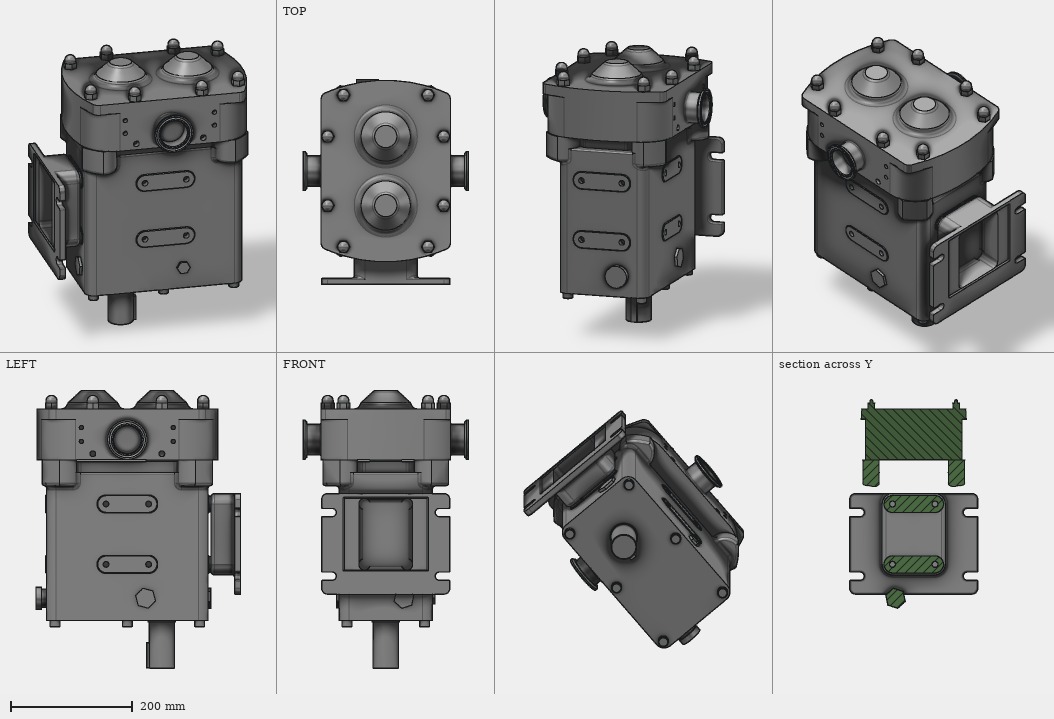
import cadquery as cq
import math

SIDES = (-1, 1)
CORNERS = [(sx, sy) for sx in SIDES for sy in SIDES]

CASE_HALF_X = 76.5
CASE_HALF_Y = 133.0
CASE_CORNER_R = 16.0
CASE_SHOULDER_Z = 243.7
CASE_TOP_Z = 261.8
HEAD_BOTTOM_Z = 264.4

BLOCK_HALF_X = 73.5
BLOCK_FLAT_HALF_X = 36.2
BLOCK_FLAT_HALF_Y = 79.0
BLOCK_EDGE_R = 6.0
SHOULDER_ROUND = 2.5

POST_X = 75.0
POST_Y = 111.8
POST_R = 28.5
POST_OUTER_REACH = 22.4
POST_BOTTOM_Z = 222.0
POST_RIM_R = 4.4
POST_BLEND_R = 7.0

PAD_LENGTH = 100.0
PAD_HEIGHT = 30.0
PAD_THICKNESS = 1.5
PAD_CHAMFER = 1.4
PAD_Z = (92.7, 192.0)
PAD_HOLE_SPACING = 70.0
PAD_HOLE_DIA = 9.5
PAD_HOLE_DEPTH = 12.0

PLUG_Z = 37.0
PLUG_OFFSET = 30.0
PLUG_HEIGHT = 4.6
PLUGS = [(0, 34.0, 18.0), (90, 22.0, 0.0), (270, 34.0, 45.0)]
GLASS_FLANGE_DIA = 37.0
GLASS_NECK_DIA = 31.0
GLASS_NECK_LENGTH = 8.0
GLASS_LENGTH = 17.6
SCREW_X = 63.8
SCREW_Y = 119.0
SCREW_DIA = 16.6
SCREW_HEIGHT = 10.4
SCREW_CHAMFER = 1.2

LOBE_Y = 56.8
SHAFT_DIA = 42.0
SHAFT_BOTTOM_Z = -78.7
SHAFT_CHAMFER = 1.2
COLLAR_DIA = 45.5
COLLAR_HEIGHT = 2.0
SEAL_BOSS_R = 26.0
KEY_WIDTH = 10.0
KEY_LENGTH = 42.5
KEY_RISE = 4.2

HEAD_TOP_Z = 348.6
COVER_BOTTOM_Z = 331.2
HEAD_HALF_X = 106.6
HEAD_HALF_Y = 149.3
HEAD_END_R = 250.0
COVER_CORNER_R = 12.0
HEAD_CORNER_R = 58.0

DOME_TOP_Z = 379.0
DOME_BASE_R = 51.9
DOME_NECK_R = 42.3
DOME_FLARE_MIDDLE = (45.6, HEAD_TOP_Z + 2.2)
DOME_SHOULDER_R = 40.5
DOME_TIP_R = 22.0
DOME_FLAT_R = 18.3
DOME_NECK_RISE = 7.0
DOME_SHOULDER_RISE = 10.2
DOME_TIP_DROP = 3.0

NUT_ENDS = (69.6, 124.8)
NUT_SIDES = (95.5, LOBE_Y)
NUT_ACROSS_CORNERS = 21.8
NUT_HEX_HEIGHT = 9.5
NUT_CAP_R = 9.3
NUT_HEIGHT = 22.2

PORT_Z = 297.8
PORT_REACH = 136.0
PORT_NECK_R = 25.4
PORT_FLANGE_R = 32.4
PORT_RIM = 3.2
PORT_TAPER = 3.0
PORT_TAPER_DROP = 3.4
PORT_BORE_R = 22.6
PORT_BORE_CHAMFER = 1.5
PORT_BORE_DEPTH = 24.0
PORT_BASE_FILLET = 2.0
GASKET_GROOVE_R = 28.0
GASKET_GROOVE_HALF_WIDTH = 1.7

SMALL_HOLES = [(75.6, 317.7), (75.6, 294.9)]
SMALL_HOLE_DIA = 7.0
LARGE_HOLE_Z = 274.6
LARGE_HOLE_DIA = 9.5
PORT_FACE_HOLE_DEPTH = 12.0

FOOT_FRONT_Y = -186.5
PLATE_THICKNESS = 10.5
PLATE_HALF_X = 105.5
PLATE_BOTTOM_Z = 43.5
FOOT_TOP_Z = 209.2
PLATE_CORNER_R = 10.0
PLATE_BACK_ROUND = 2.0
SLOT_Z = (73.3, 178.0)
SLOT_WIDTH = 13.2
SLOT_INNER_X = 81.5
SLOT_MOUTH_R = 2.0
FOOT_BODY_HALF_X = 51.9
FOOT_BODY_BOTTOM_Z = 75.4
FOOT_BODY_CORNER_R = 17.5
FOOT_BACK_GAP = 4.2
FOOT_BACK_ROUND = 6.0
NECK_FILLET_R = 4.0
FOOT_BOSS_DIA = 26.0
RECESS_HALF_X = 70.5
RECESS_DEPTH = 2.5
RECESS_MARGIN = 2.0
RECESS_CORNER_R = 3.0
RECESS_CHAMFER = 2.3
CAVITY_CORNER_R = 9.3
CAVITY_FLOOR_R = 6.0
FOOT_BACK_WALL = 10.0

FACE_TURNS = (0, 90, 180, 270)


def box(x0, x1, y0, y1, z0, z1):
    return cq.Workplane("XY").box(x1 - x0, y1 - y0, z1 - z0, centered=False).translate((x0, y0, z0))


def cylinder_z(x, y, radius, z0, z1):
    return cq.Workplane("XY").workplane(offset=z0).center(x, y).circle(radius).extrude(z1 - z0)


def face_plane(turn):
    """Plane on an upright case face: turn 0 is the -Y face, then 90 degrees each time around Z."""
    angle = math.radians(turn - 90)
    normal = cq.Vector(math.cos(angle), math.sin(angle), 0)
    distance = CASE_HALF_Y if turn % 180 == 0 else CASE_HALF_X
    return cq.Plane(origin=normal * distance, xDir=(-normal.y, normal.x, 0), normal=normal)


def post(sx, sy):
    """Round post whose outward quarter is flattened to a shallow arc."""
    diagonal = math.sqrt(0.5)
    outer = POST_OUTER_REACH * diagonal
    inner = POST_R * diagonal
    column = (
        cq.Workplane("XY")
        .workplane(offset=POST_BOTTOM_Z)
        .center(sx * POST_X, sy * POST_Y)
        .moveTo(sx * POST_R, 0)
        .threePointArc((sx * outer, sy * outer), (0, sy * POST_R))
        .threePointArc((-sx * inner, -sy * inner), (sx * POST_R, 0))
        .close()
        .extrude(HEAD_BOTTOM_Z - POST_BOTTOM_Z)
    )
    return column.faces("<Z").edges().fillet(POST_RIM_R)


def is_post_blend(edge):
    """True for the inside edges where a post leaves the case walls and rounded case corner."""
    middle = edge.positionAt(0.5)
    on_x_wall = math.isclose(abs(middle.x), CASE_HALF_X, abs_tol=0.01)
    on_y_wall = math.isclose(abs(middle.y), CASE_HALF_Y, abs_tol=0.01)
    past_x = abs(middle.x) - (CASE_HALF_X - CASE_CORNER_R)
    past_y = abs(middle.y) - (CASE_HALF_Y - CASE_CORNER_R)
    in_corner = min(past_x, past_y) > 0
    on_corner = in_corner and math.isclose(math.hypot(past_x, past_y), CASE_CORNER_R, abs_tol=0.01)
    return on_x_wall or on_y_wall or on_corner


def blend_end(post_center, wall, post_across):
    """Distance from the middle of a wall to where a post's blend runs out on it."""
    offset = wall + POST_BLEND_R - post_across
    return post_center - math.sqrt((POST_R + POST_BLEND_R) ** 2 - offset**2)


def shoulder_round_cut(turn):
    """Waste of the rounded shoulder edge along one case wall, between two post blends."""
    if turn % 180 == 0:
        half_length = blend_end(POST_X, CASE_HALF_Y, POST_Y)
    else:
        half_length = blend_end(POST_Y, CASE_HALF_X, POST_X)
    plane = cq.Workplane(face_plane(turn))
    bar = plane.center(0, CASE_SHOULDER_Z - SHOULDER_ROUND / 2).rect(2 * half_length, SHOULDER_ROUND)
    rod_start = (-half_length, CASE_SHOULDER_Z - SHOULDER_ROUND, -SHOULDER_ROUND)
    axis_plane = cq.Plane(
        origin=face_plane(turn).toWorldCoords(rod_start),
        normal=face_plane(turn).xDir,
    )
    rod = cq.Workplane(axis_plane).circle(SHOULDER_ROUND).extrude(2 * half_length)
    return bar.extrude(-SHOULDER_ROUND).cut(rod)


def case_shell():
    shell = box(-CASE_HALF_X, CASE_HALF_X, -CASE_HALF_Y, CASE_HALF_Y, 0, CASE_SHOULDER_Z)
    shell = shell.edges("|Z").fillet(CASE_CORNER_R)
    for sx, sy in CORNERS:
        shell = shell.union(post(sx, sy))
    reach_x = POST_X + POST_R
    reach_y = POST_Y + POST_R
    post_band = cq.selectors.BoxSelector(
        (-reach_x, -reach_y, POST_BOTTOM_Z - 1), (reach_x, reach_y, CASE_SHOULDER_Z - 1)
    )
    shell = shell.edges(post_band).filter(is_post_blend).fillet(POST_BLEND_R)
    for turn in FACE_TURNS:
        shell = shell.cut(shoulder_round_cut(turn))
    return shell


def top_block():
    half_y = BLOCK_FLAT_HALF_Y + BLOCK_HALF_X - BLOCK_FLAT_HALF_X
    block = box(-BLOCK_HALF_X, BLOCK_HALF_X, -half_y, half_y, CASE_SHOULDER_Z, CASE_TOP_Z)
    block = block.edges("|Z").chamfer(BLOCK_HALF_X - BLOCK_FLAT_HALF_X)
    return block.edges("|Z").fillet(BLOCK_EDGE_R)


def mounting_pads(turn):
    plane = cq.Workplane(face_plane(turn))
    spots = [(0, z) for z in PAD_Z]
    pads = plane.pushPoints(spots).slot2D(PAD_LENGTH, PAD_HEIGHT).extrude(PAD_THICKNESS)
    return pads.faces(cq.selectors.DirectionMinMaxSelector(face_plane(turn).zDir)).chamfer(PAD_CHAMFER)


def pad_holes(turn):
    spots = [(side * PAD_HOLE_SPACING / 2, z) for side in SIDES for z in PAD_Z]
    plane = cq.Workplane(face_plane(turn)).workplane(offset=PAD_THICKNESS)
    return plane.pushPoints(spots).circle(PAD_HOLE_DIA / 2).extrude(-PAD_HOLE_DEPTH)


def hex_plug(turn, across_corners, hexagon_turn):
    plane = cq.Workplane(face_plane(turn)).center(PLUG_OFFSET, PLUG_Z)
    return plane.transformed(rotate=(0, 0, hexagon_turn)).polygon(6, across_corners).extrude(PLUG_HEIGHT)


def sight_glass():
    plane = cq.Workplane(face_plane(180)).center(PLUG_OFFSET, PLUG_Z)
    neck = plane.circle(GLASS_NECK_DIA / 2).extrude(GLASS_LENGTH)
    flange = plane.workplane(offset=GLASS_NECK_LENGTH).circle(GLASS_FLANGE_DIA / 2)
    return neck.union(flange.extrude(GLASS_LENGTH - GLASS_NECK_LENGTH))


def bottom_screws():
    spots = [(side * SCREW_X, row * SCREW_Y) for side in SIDES for row in (-1, 0, 1)]
    screws = cq.Workplane("XY").pushPoints(spots).circle(SCREW_DIA / 2).extrude(-SCREW_HEIGHT)
    return screws.faces("<Z").chamfer(SCREW_CHAMFER)


def drive_shaft():
    shaft = cylinder_z(0, -LOBE_Y, SHAFT_DIA / 2, SHAFT_BOTTOM_Z, 0).faces("<Z").chamfer(SHAFT_CHAMFER)
    collar = cylinder_z(0, -LOBE_Y, COLLAR_DIA / 2, -COLLAR_HEIGHT, 0)
    key = box(
        -KEY_WIDTH / 2,
        KEY_WIDTH / 2,
        -LOBE_Y,
        -LOBE_Y + SHAFT_DIA / 2 + KEY_RISE,
        SHAFT_BOTTOM_Z + SHAFT_CHAMFER,
        SHAFT_BOTTOM_Z + KEY_LENGTH,
    )
    return shaft.union(collar).union(key)


gear_case = case_shell().union(top_block())
gear_case = gear_case.union(cylinder_z(0, -LOBE_Y, SEAL_BOSS_R, CASE_TOP_Z, HEAD_BOTTOM_Z))
for turn in FACE_TURNS:
    gear_case = gear_case.union(mounting_pads(turn)).cut(pad_holes(turn))
for turn, across_corners, hexagon_turn in PLUGS:
    gear_case = gear_case.union(hex_plug(turn, across_corners, hexagon_turn))
gear_case = gear_case.union(sight_glass()).union(bottom_screws()).union(drive_shaft())


def head_block(bottom_z, top_z, corner_radius):
    """Block with straight sides and arched ends, its four upright corners rounded."""
    arch_rise = HEAD_END_R - math.sqrt(HEAD_END_R**2 - HEAD_HALF_X**2)
    corner_y = HEAD_HALF_Y - arch_rise
    block = (
        cq.Workplane("XY")
        .workplane(offset=bottom_z)
        .moveTo(-HEAD_HALF_X, -corner_y)
        .threePointArc((0, -HEAD_HALF_Y), (HEAD_HALF_X, -corner_y))
        .lineTo(HEAD_HALF_X, corner_y)
        .threePointArc((0, HEAD_HALF_Y), (-HEAD_HALF_X, corner_y))
        .close()
        .extrude(top_z - bottom_z)
    )
    return block.edges("|Z").fillet(corner_radius)


def dome():
    """Cone on a flared base, turned about Z."""
    shoulder_z = HEAD_TOP_Z + DOME_SHOULDER_RISE
    profile = (
        cq.Workplane("XZ")
        .moveTo(0, HEAD_TOP_Z)
        .lineTo(DOME_BASE_R, HEAD_TOP_Z)
        .threePointArc(DOME_FLARE_MIDDLE, (DOME_NECK_R, HEAD_TOP_Z + DOME_NECK_RISE))
        .lineTo(DOME_SHOULDER_R, shoulder_z)
        .lineTo(DOME_TIP_R, DOME_TOP_Z - DOME_TIP_DROP)
        .lineTo(DOME_FLAT_R, DOME_TOP_Z)
        .lineTo(0, DOME_TOP_Z)
        .close()
    )
    return profile.revolve(360, (0, 0, 0), (0, 1, 0))


def acorn_nut():
    hexagon = cq.Workplane("XY").polygon(6, NUT_ACROSS_CORNERS).extrude(NUT_HEX_HEIGHT)
    ball_z = NUT_HEIGHT - NUT_CAP_R
    cap = cylinder_z(0, 0, NUT_CAP_R, 0, ball_z).union(
        cq.Workplane("XY").sphere(NUT_CAP_R).translate((0, 0, ball_z))
    )
    return hexagon.union(cap)


def port():
    """Port on the -X side: a neck with a clamp flange, gasket groove and blind bore, turned about X."""
    rim_end = PORT_REACH - PORT_RIM
    taper_end = rim_end - PORT_TAPER
    bore_end = PORT_REACH - PORT_BORE_DEPTH
    fillet_mid = PORT_BASE_FILLET * (1 - math.sqrt(0.5))
    profile = (
        cq.Workplane("XY")
        .moveTo(-HEAD_HALF_X, 0)
        .lineTo(-HEAD_HALF_X, PORT_NECK_R + PORT_BASE_FILLET)
        .threePointArc(
            (-HEAD_HALF_X - fillet_mid, PORT_NECK_R + fillet_mid),
            (-HEAD_HALF_X - PORT_BASE_FILLET, PORT_NECK_R),
        )
        .lineTo(-taper_end, PORT_NECK_R)
        .lineTo(-taper_end, PORT_FLANGE_R - PORT_TAPER_DROP)
        .lineTo(-rim_end, PORT_FLANGE_R)
        .lineTo(-PORT_REACH, PORT_FLANGE_R)
        .lineTo(-PORT_REACH, GASKET_GROOVE_R + GASKET_GROOVE_HALF_WIDTH)
        .threePointArc(
            (-PORT_REACH + GASKET_GROOVE_HALF_WIDTH, GASKET_GROOVE_R),
            (-PORT_REACH, GASKET_GROOVE_R - GASKET_GROOVE_HALF_WIDTH),
        )
        .lineTo(-PORT_REACH, PORT_BORE_R + PORT_BORE_CHAMFER)
        .lineTo(-PORT_REACH + PORT_BORE_CHAMFER, PORT_BORE_R)
        .lineTo(-bore_end, PORT_BORE_R)
        .lineTo(-bore_end, 0)
        .close()
    )
    return profile.revolve(360, (0, 0, 0), (1, 0, 0)).translate((0, 0, PORT_Z))


def side_holes(spots, diameter, depth, reach):
    """Blind holes bored along X from x = -reach and x = reach; spots are (y, z) places."""
    left = cq.Workplane("YZ").workplane(offset=-reach).pushPoints(spots)
    right = cq.Workplane("YZ").workplane(offset=reach).pushPoints(spots)
    return left.circle(diameter / 2).extrude(depth).union(right.circle(diameter / 2).extrude(-depth))


def both_sides(spots):
    return [(side * y, z) for y, z in spots for side in SIDES]


pump_head = head_block(HEAD_BOTTOM_Z, COVER_BOTTOM_Z, HEAD_CORNER_R)
pump_head = pump_head.union(head_block(COVER_BOTTOM_Z, HEAD_TOP_Z, COVER_CORNER_R))
for side in SIDES:
    pump_head = pump_head.union(dome().translate((0, side * LOBE_Y, 0)))
for nut_x, nut_y in (NUT_ENDS, NUT_SIDES):
    for sx, sy in CORNERS:
        pump_head = pump_head.union(acorn_nut().translate((sx * nut_x, sy * nut_y, HEAD_TOP_Z)))
pump_head = pump_head.union(port()).union(port().mirror("YZ"))
pump_head = pump_head.cut(
    side_holes(both_sides(SMALL_HOLES), SMALL_HOLE_DIA, PORT_FACE_HOLE_DEPTH, HEAD_HALF_X)
)
pump_head = pump_head.cut(
    side_holes(both_sides([(LOBE_Y, LARGE_HOLE_Z)]), LARGE_HOLE_DIA, PORT_FACE_HOLE_DEPTH, HEAD_HALF_X)
)


PLATE_BACK_Y = FOOT_FRONT_Y + PLATE_THICKNESS
FOOT_BACK_Y = -CASE_HALF_Y - FOOT_BACK_GAP
CAVITY_HALF_X = PAD_HOLE_SPACING / 2 + CAVITY_CORNER_R
CAVITY_BOTTOM_Z = PAD_Z[0] - CAVITY_CORNER_R
CAVITY_TOP_Z = PAD_Z[1] + CAVITY_CORNER_R
CAVITY_FLOOR_Y = FOOT_BACK_Y - FOOT_BACK_WALL
BOLT_SPOTS = [(side * PAD_HOLE_SPACING / 2, z) for side in SIDES for z in PAD_Z]


def cylinder_y(x, z, radius, y0, y1):
    return cq.Workplane("XZ", origin=(0, y0, 0)).center(x, z).circle(radius).extrude(y0 - y1)


def edge_slot(side, z):
    """Slot open at one side edge of the plate and round at its inner end."""
    half = SLOT_WIDTH / 2
    center_x = SLOT_INNER_X + half
    slot = cylinder_y(side * center_x, z, half, FOOT_FRONT_Y, PLATE_BACK_Y)
    ends = sorted((side * center_x, side * PLATE_HALF_X))
    return slot.union(box(*ends, FOOT_FRONT_Y, PLATE_BACK_Y, z - half, z + half))


def is_slot_mouth(edge):
    return any(abs(edge.Center().z - z) < SLOT_WIDTH for z in SLOT_Z)


def foot_plate():
    plate = box(-PLATE_HALF_X, PLATE_HALF_X, FOOT_FRONT_Y, PLATE_BACK_Y, PLATE_BOTTOM_Z, FOOT_TOP_Z)
    plate = plate.edges("|Y").fillet(PLATE_CORNER_R)
    for side in SIDES:
        for z in SLOT_Z:
            plate = plate.cut(edge_slot(side, z))
    for side_faces in ("<X", ">X"):
        mouths = plate.faces(side_faces).edges("|Y").filter(is_slot_mouth)
        plate = mouths.fillet(SLOT_MOUTH_R)
    return plate.faces(">Y").edges().fillet(PLATE_BACK_ROUND)


def foot_body():
    body = box(
        -FOOT_BODY_HALF_X, FOOT_BODY_HALF_X, FOOT_FRONT_Y, FOOT_BACK_Y, FOOT_BODY_BOTTOM_Z, FOOT_TOP_Z
    )
    body = body.edges("|Y").fillet(FOOT_BODY_CORNER_R)
    return body.faces(">Y").edges().fillet(FOOT_BACK_ROUND)


def foot_recess():
    recess = box(
        -RECESS_HALF_X,
        RECESS_HALF_X,
        FOOT_FRONT_Y,
        FOOT_FRONT_Y + RECESS_DEPTH,
        CAVITY_BOTTOM_Z - RECESS_MARGIN,
        CAVITY_TOP_Z + RECESS_MARGIN,
    )
    return recess.edges("|Y").fillet(RECESS_CORNER_R).faces(">Y").edges().chamfer(RECESS_CHAMFER)


def foot_cavity():
    cavity = box(
        -CAVITY_HALF_X, CAVITY_HALF_X, FOOT_FRONT_Y, CAVITY_FLOOR_Y, CAVITY_BOTTOM_Z, CAVITY_TOP_Z
    )
    cavity = cavity.edges("|Y").fillet(CAVITY_CORNER_R).faces(">Y").edges().fillet(CAVITY_FLOOR_R)
    for x, z in BOLT_SPOTS:
        cavity = cavity.union(cylinder_y(x, z, CAVITY_CORNER_R, FOOT_FRONT_Y, CAVITY_FLOOR_Y))
    return cavity


foot = foot_plate().union(foot_body())
neck_band = cq.selectors.BoxSelector(
    (-FOOT_BODY_HALF_X - 1, PLATE_BACK_Y - 0.1, FOOT_BODY_BOTTOM_Z - 1),
    (FOOT_BODY_HALF_X + 1, PLATE_BACK_Y + 0.1, FOOT_TOP_Z - 1),
)
foot = foot.edges(neck_band).fillet(NECK_FILLET_R)
for x, z in BOLT_SPOTS:
    boss_front_y = FOOT_BACK_Y - FOOT_BACK_WALL
    boss_back_y = -CASE_HALF_Y - PAD_THICKNESS
    foot = foot.union(cylinder_y(x, z, FOOT_BOSS_DIA / 2, boss_front_y, boss_back_y))
foot = foot.cut(foot_recess()).cut(foot_cavity())

result = cq.Compound.makeCompound([gear_case.val(), pump_head.val(), foot.val()])